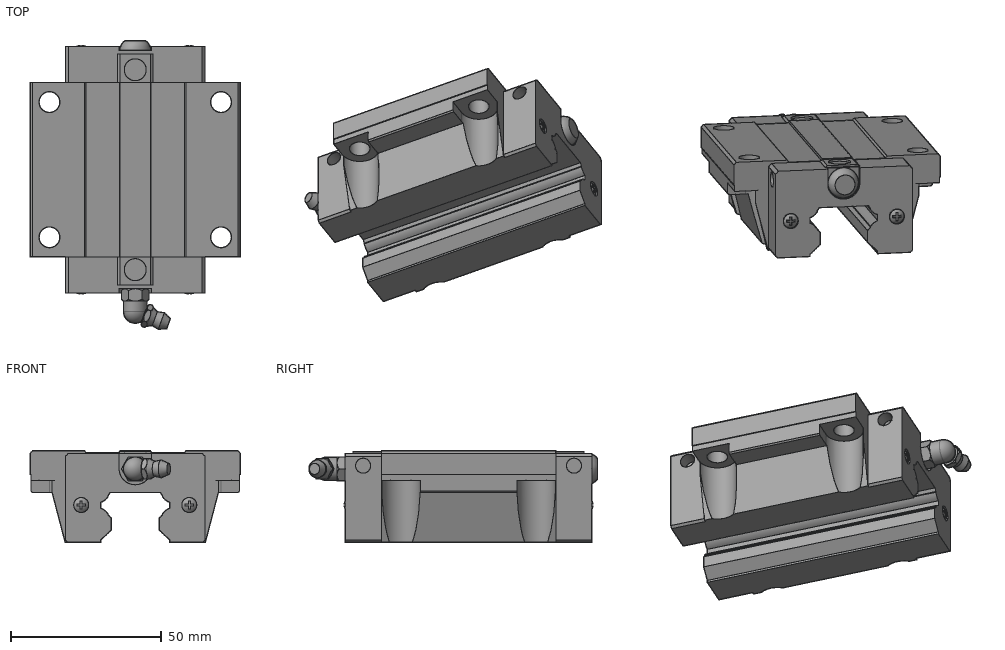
import cadquery as cq
import math

height = 30.5
flange_half_width = 35.0
block_half_length = 29.0
cap_end = 38.4
plate_end = 41.0
cap_half_width = 23.3
cap_top = 29.6

flange_top_chamfer = 0.9
flange_low_chamfer = 0.5
flange_bottom = 16.5
side_step = 0.3
side_step_z = 22.6
wall_top_x = 27.7
wall_bottom_x = 23.4
recess_z = 29.8
recess_half_width = 16.3
recess_slope = 0.6
ridge_half_width = 5.1
ridge_slope = 0.2

bolt_x = 28.5
bolt_y = 22.5
bolt_diameter = 6.8
clearance_radius = 6.4
clearance_top = 20.6
side_overshoot = 1.0

cap_top_chamfer = 1.1
cap_bottom_chamfer = 0.8
cap_ridge_top = 30.2
cap_ridge_slope = 0.8
top_port_diameter = 7.3
top_port_y = 33.3
top_port_depth = 0.7
side_port_diameter = 5.0
side_port_y = 35.1
side_port_z = 25.5
side_port_depth = 4.8

fitting_z = 24.4
fitting_recess_z = 24.5
fitting_recess_radius = 5.4
fitting_recess_floor = 39.6
plug_radius = 10.3 / 2
plug_end_radius = 3.4
plug_crown_radius = 4.4
plug_crown_y = 42.0
plug_shoulder = 40.0
plug_end = 43.0
screw_x = 18.0
screw_z = 12.4
screw_diameter = 5.0
screw_recess_depth = 0.8
screw_crown_height = 0.4
cross_length = 2.8
cross_width = 0.7
cross_depth = 0.8

elbow_hex_flats = 8.0
elbow_hex_end = 43.7
elbow_radius = 7.9 / 2
elbow_center_y = -47.2
nipple_tilt = 20.0
nipple_hex_flats = 6.8
nipple_hex_start = 3.3
nipple_hex_end = 5.2
neck_radius = 5.0 / 2
neck_position = 6.9
bulb_radius = 6.0 / 2
bulb_position = 9.2
tip_radius = 1.8
tip_position = 11.8

channel_foot_x = 11.4
channel_foot_z = 0.8
channel_throat_x = 8.0
channel_throat_low_z = 4.0
channel_throat_high_z = 8.1
channel_root_x = 11.4
channel_root_half_height = 1.0
channel_mid_z = 12.3
track_edge_x = 9.0
track_edge_offset = 2.9
track_crest_x = 10.5
track_crest_offset = 1.4
track_lip = 0.3
channel_roof_x = 8.4


def mirrored(half_outline):
    """Close a right-hand outline with its reflection across the YZ plane."""
    return half_outline + [(-x, z) for x, z in reversed(half_outline)]


def extrude_along_y(outline, start, end):
    return cq.Workplane("XZ", origin=(0, start, 0)).polyline(outline).close().extrude(start - end)


def cylinder_along_y(x, z, radius, start, end):
    return cq.Workplane("XZ", origin=(x, start, z)).circle(radius).extrude(start - end)


def make_block():
    lower_x = flange_half_width - side_step
    half_outline = [
        (wall_bottom_x, 0),
        (wall_top_x, flange_bottom),
        (lower_x - flange_low_chamfer, flange_bottom),
        (lower_x, flange_bottom + flange_low_chamfer),
        (lower_x, side_step_z),
        (flange_half_width, side_step_z),
        (flange_half_width, height - flange_top_chamfer),
        (flange_half_width - flange_top_chamfer, height),
        (recess_half_width + recess_slope, height),
        (recess_half_width, recess_z),
        (ridge_half_width + ridge_slope, recess_z),
        (ridge_half_width, height),
    ]
    return extrude_along_y(mirrored(half_outline), -block_half_length, block_half_length)


def cut_mounting_holes(body):
    outward = flange_half_width - bolt_x + side_overshoot
    end_gap = block_half_length - bolt_y
    for side in (-1, 1):
        for end in (-1, 1):
            spot = cq.Workplane("XY", origin=(side * bolt_x, end * bolt_y, 0))
            body = body.cut(spot.circle(bolt_diameter / 2).extrude(height))
            clearance = spot.circle(clearance_radius).extrude(clearance_top)
            outer_slot = (
                spot.center(side * outward / 2, 0)
                .rect(outward, 2 * clearance_radius)
                .extrude(clearance_top)
            )
            relief_length = flange_half_width - wall_top_x + side_overshoot
            end_relief = (
                cq.Workplane("XY", origin=(side * (wall_top_x + relief_length / 2), 0, 0))
                .center(0, end * (bolt_y + end_gap / 2))
                .rect(relief_length, end_gap)
                .extrude(clearance_top)
            )
            body = body.cut(clearance).cut(outer_slot).cut(end_relief)
    return body


def make_channel():
    """Void around the rail, with a rounded ball track above and below each side groove."""
    low_edge_z = channel_mid_z - track_edge_offset
    high_edge_z = channel_mid_z + track_edge_offset
    half = (
        cq.Workplane("XZ", origin=(0, plate_end, 0))
        .moveTo(0, 0)
        .lineTo(channel_foot_x, 0)
        .lineTo(channel_foot_x, channel_foot_z)
        .lineTo(channel_throat_x, channel_throat_low_z)
        .lineTo(channel_throat_x, channel_throat_high_z)
        .lineTo(track_edge_x, low_edge_z - track_lip)
        .lineTo(track_edge_x, low_edge_z)
        .threePointArc(
            (track_crest_x, channel_mid_z - track_crest_offset),
            (channel_root_x, channel_mid_z - channel_root_half_height),
        )
        .lineTo(channel_root_x, channel_mid_z + channel_root_half_height)
        .threePointArc(
            (track_crest_x, channel_mid_z + track_crest_offset),
            (track_edge_x, high_edge_z),
        )
        .lineTo(track_edge_x, high_edge_z + track_lip)
        .lineTo(channel_roof_x, flange_bottom)
        .lineTo(0, flange_bottom)
        .close()
        .extrude(2 * plate_end)
    )
    return half.union(half.mirror("YZ"))


def make_end(end):
    """End cap and end plate; end is -1 or +1 along Y."""
    half_outline = [
        (cap_half_width - cap_bottom_chamfer, 0),
        (cap_half_width, cap_bottom_chamfer),
        (cap_half_width, cap_top - cap_top_chamfer),
        (cap_half_width - cap_top_chamfer, cap_top),
    ]
    inner = end * block_half_length
    body = extrude_along_y(mirrored(half_outline), inner, end * plate_end)
    ridge_outline = [
        (ridge_half_width + cap_ridge_slope, cap_top),
        (ridge_half_width, cap_ridge_top),
    ]
    body = body.union(extrude_along_y(mirrored(ridge_outline), inner, end * cap_end))

    top_port = (
        cq.Workplane("XY", origin=(0, end * top_port_y, cap_ridge_top - top_port_depth))
        .circle(top_port_diameter / 2)
        .extrude(height)
    )
    body = body.cut(top_port)
    for side in (-1, 1):
        side_port = (
            cq.Workplane("YZ", origin=(side * cap_half_width, end * side_port_y, side_port_z))
            .circle(side_port_diameter / 2)
            .extrude(-side * side_port_depth)
        )
        body = body.cut(side_port)
        body = add_screw(body, side, end)

    recess_mouth = [(fitting_recess_radius, fitting_recess_z), (fitting_recess_radius, height)]
    floor = end * fitting_recess_floor
    body = body.cut(cylinder_along_y(0, fitting_recess_z, fitting_recess_radius, floor, end * plate_end))
    return body.cut(extrude_along_y(mirrored(recess_mouth), floor, end * plate_end))


def add_screw(body, side, end):
    x = side * screw_x
    radius = screw_diameter / 2
    rim = plate_end - screw_recess_depth
    crown = plate_end + screw_crown_height
    pocket = cylinder_along_y(x, screw_z, radius, end * rim, end * plate_end)
    crown_rise = crown - rim
    sphere_radius = (radius**2 + crown_rise**2) / (2 * crown_rise)
    sphere = cq.Workplane("XY", origin=(x, end * (crown - sphere_radius), screw_z)).sphere(sphere_radius)
    head = sphere.intersect(cylinder_along_y(x, screw_z, radius, end * rim, end * crown))
    body = body.cut(pocket).union(head)
    for width, tall in ((cross_length, cross_width), (cross_width, cross_length)):
        slot = (
            cq.Workplane("XZ", origin=(x, end * crown, screw_z))
            .rect(width, tall)
            .extrude(end * cross_depth)
        )
        body = body.cut(slot)
    return body


def make_plug():
    profile = (
        cq.Workplane("XY", origin=(0, 0, fitting_z))
        .moveTo(0, fitting_recess_floor)
        .lineTo(plug_radius, fitting_recess_floor)
        .lineTo(plug_radius, plug_shoulder)
        .threePointArc((plug_crown_radius, plug_crown_y), (plug_end_radius, plug_end))
        .lineTo(0, plug_end)
        .close()
    )
    return profile.revolve(360, (0, 0, 0), (0, 1, 0))


def make_hex_nut(base, flats, length):
    """Hexagonal prism on the base workplane, with both ends chamfered down to the flats."""
    corners = flats / math.cos(math.radians(30))
    prism = base.polygon(6, corners).extrude(length)
    envelope = base.circle(corners / 2).extrude(length).edges("%CIRCLE").chamfer((corners - flats) / 2)
    return prism.intersect(envelope)


def make_nipple():
    hex_base = cq.Workplane("XZ", origin=(0, -fitting_recess_floor, fitting_z))
    fitting = make_hex_nut(hex_base, elbow_hex_flats, elbow_hex_end - fitting_recess_floor)
    elbow = cylinder_along_y(0, fitting_z, elbow_radius, -fitting_recess_floor, elbow_center_y)
    ball = cq.Workplane("XY", origin=(0, elbow_center_y, fitting_z)).sphere(elbow_radius)

    outlet_base = cq.Workplane("YZ", origin=(nipple_hex_start, 0, 0))
    outlet_hex = make_hex_nut(outlet_base, nipple_hex_flats, nipple_hex_end - nipple_hex_start)
    outlet_profile = [
        (0, 0),
        (0, neck_radius),
        (nipple_hex_end, neck_radius),
        (nipple_hex_end, nipple_hex_flats / 2),
        (neck_position, neck_radius),
        (bulb_position, bulb_radius),
        (tip_position, tip_radius),
        (tip_position, 0),
    ]
    outlet = cq.Workplane("XY").polyline(outlet_profile).close().revolve(360, (0, 0, 0), (1, 0, 0))
    outlet = outlet.union(outlet_hex).rotate((0, 0, 0), (0, 0, 1), -nipple_tilt)
    outlet = outlet.translate((0, elbow_center_y, fitting_z))
    return fitting.union(elbow).union(ball).union(outlet)


carriage = cut_mounting_holes(make_block())
for end_side in (-1, 1):
    carriage = carriage.union(make_end(end_side))
carriage = carriage.cut(make_channel())
result = carriage.union(make_plug()).union(make_nipple())